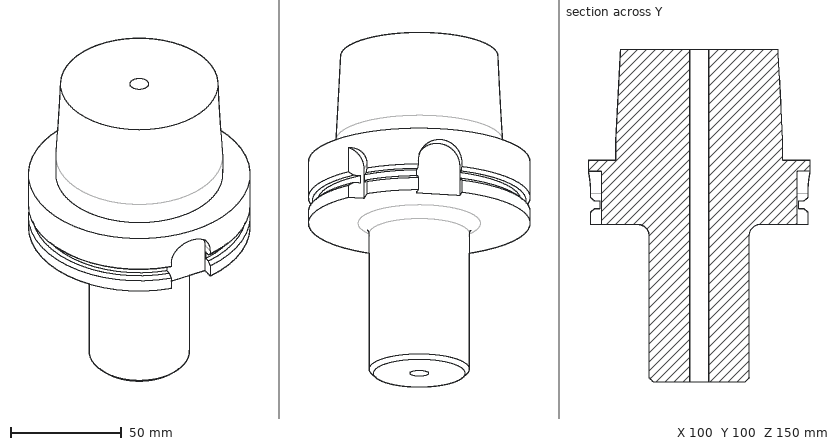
import cadquery as cq

total_height = 150.0
flange_bottom = 71.0
flange_top = 100.0
taper_start = 110.1

shank_radius = 22.6
shank_chamfer = 2.0
shank_fillet = 5.0
head_base_radius = 37.6
head_top_radius = 35.5
bore_diameter = 8.4

flange_radius = 100.0 / 2
groove_radius = 45.9
groove_bottom = flange_bottom + 7.2
groove_width = 3.5
groove_top = groove_bottom + groove_width
groove_chamfer = 1.5
groove_lip_radius = flange_radius - 1.8

slot_width = 20.0
slot_height = 24.0
drive_floor = 44.1
side_slot_floor = 31.6
side_slot_offset = 41.5


def revolved_body():
    """Shank, grooved flange and tapered head, turned about Z."""
    profile = (
        cq.Workplane("XZ")
        .moveTo(0, 0)
        .lineTo(shank_radius - shank_chamfer, 0)
        .lineTo(shank_radius, shank_chamfer)
        .lineTo(shank_radius, flange_bottom - shank_fillet)
        .radiusArc((shank_radius + shank_fillet, flange_bottom), shank_fillet)
        .lineTo(flange_radius, flange_bottom)
        .lineTo(flange_radius, groove_bottom - groove_chamfer)
        .lineTo(groove_lip_radius, groove_bottom)
        .lineTo(groove_radius, groove_bottom)
        .lineTo(groove_radius, groove_top)
        .lineTo(groove_lip_radius, groove_top)
        .lineTo(flange_radius, groove_top + groove_chamfer)
        .lineTo(flange_radius, flange_top)
        .lineTo(head_base_radius, flange_top)
        .lineTo(head_base_radius, taper_start)
        .lineTo(head_top_radius, total_height)
        .lineTo(0, total_height)
        .close()
    )
    return profile.revolve(360, (0, 0, 0), (0, 1, 0))


def slot_cutter(floor, offset):
    """Round-topped slot on the -X side, from the floor plane out past the rim."""
    half_width = slot_width / 2
    slot_top = flange_bottom + slot_height
    arc_start = slot_top - half_width
    return (
        cq.Workplane("YZ", origin=(-floor, 0, 0))
        .moveTo(offset - half_width, flange_bottom)
        .lineTo(offset - half_width, arc_start)
        .threePointArc((offset, slot_top), (offset + half_width, arc_start))
        .lineTo(offset + half_width, flange_bottom)
        .close()
        .extrude(-flange_radius)
    )


result = revolved_body()

drive_slot = slot_cutter(drive_floor, 0)
for angle in (0, 180):
    result = result.cut(drive_slot.rotate((0, 0, 0), (0, 0, 1), angle))

result = result.cut(slot_cutter(side_slot_floor, side_slot_offset))

result = result.faces(">Z").workplane(origin=(0, 0, total_height)).hole(bore_diameter)